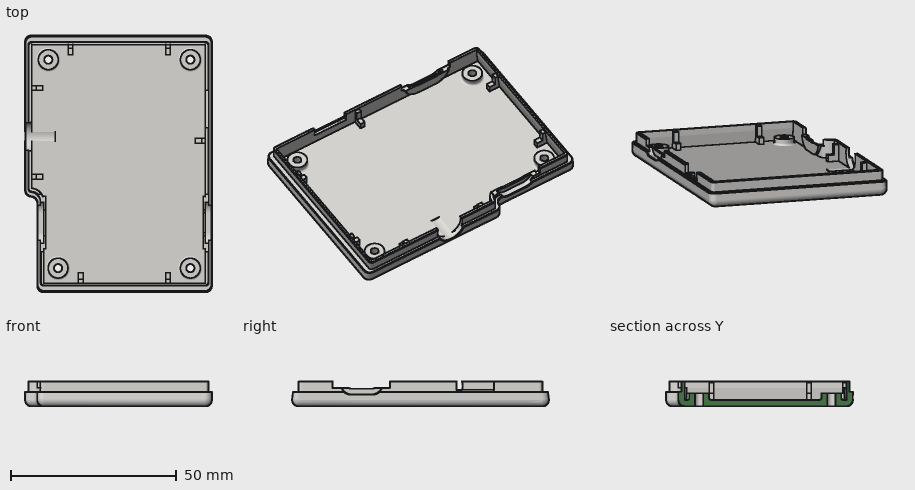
import cadquery as cq
import math

width = 56.49
length = 77.63
step_width = 3.68
step_start_y = -7.96
corner_radius = 2.0

floor_top = 2.0
board_seat = 4.0
rim_height = 4.5
wall_height = 5.6
rib_top = 7.1
total_height = 7.6

bottom_fillet = 1.99
end_draft = 7.0
lip_inset = 1.0
wall_thickness = 2.0
lip_half_length = 36.85
cavity_half_length = 36.0
lip_step_shift = 0.4
cavity_step_shift = 0.6
edge_break = 0.2
chamfer_angle = 45.0

boss_diameter = 6.0
screw_hole_diameter = 2.4
boss_flare = 0.7
boss_centers = [(-21.2, 31.45), (21.7, 31.45), (-18.25, -31.5), (21.7, -31.5)]

rib_width = 1.5
ledge_reach = 2.0
board_left, board_right = -24.85, 25.15
board_half_length = 34.87
top_rib_xs = (-14.5, 14.95)
bottom_rib_xs = (-11.45, 14.95)
left_rib_ys = (22.9, -3.95)
right_rib_y = 7.0

cable_radius = 4.45
cable_y = 8.25
cable_bottom = 1.77
cable_end_x = -19.1

plug_y = -17.77
plug_half_flat = 3.0
plug_axis_z = 7.15
plug_radius = 3.5
plug_pad_radius = plug_axis_z - floor_top
plug_port_radius = 1.8
pad_thickness = 0.65
plug_gap_y = (-26.55, -9.15)

notch_y = (10.9, 22.2)
notch_bottom = 5.0

left_x = -width / 2
right_x = width / 2
stepped_left_x = left_x + step_width
plug_sides = [(stepped_left_x, 1), (right_x, -1)]

draft_slope = math.tan(math.radians(end_draft))
fillet_loss = bottom_fillet * (draft_slope + 1 / math.cos(math.radians(end_draft)) - 1)
base_half_length = length / 2 + fillet_loss


def box(x_range, y_range, z_range):
    size = [high - low for low, high in (x_range, y_range, z_range)]
    corner = (x_range[0], y_range[0], z_range[0])
    return cq.Workplane("XY").box(*size, centered=False).translate(corner)


def outline(workplane, inset, half_length, step_shift):
    """Plan outline with sides moved in by inset, ends at +-half_length and the step moved along Y."""
    left = left_x + inset
    stepped_left = stepped_left_x + inset
    right = right_x - inset
    outer = corner_radius - inset
    inner = corner_radius + inset

    centers_dx = step_width - 2 * corner_radius
    centers_dy = -math.sqrt((2 * corner_radius) ** 2 - centers_dx ** 2)
    convex = (left_x + corner_radius, step_start_y + step_shift)
    concave = (convex[0] + centers_dx, convex[1] + centers_dy)
    lean = math.atan2(centers_dy, centers_dx)

    def on_arc(center, radius, angle):
        return (center[0] + radius * math.cos(angle), center[1] + radius * math.sin(angle))

    meeting = on_arc(convex, outer, lean)
    concave_middle = on_arc(concave, inner, (lean + math.pi) / 2)
    convex_middle = on_arc(convex, outer, (lean - math.pi) / 2)

    rounded = outer > 0
    sketch = workplane.moveTo(stepped_left + outer, -half_length).lineTo(right - outer, -half_length)
    if rounded:
        sketch = sketch.radiusArc((right, -half_length + outer), -outer)
    sketch = sketch.lineTo(right, half_length - outer)
    if rounded:
        sketch = sketch.radiusArc((right - outer, half_length), -outer)
    sketch = sketch.lineTo(left + outer, half_length)
    if rounded:
        sketch = sketch.radiusArc((left, half_length - outer), -outer)
    sketch = sketch.lineTo(left, convex[1])
    if rounded:
        sketch = sketch.threePointArc(convex_middle, meeting)
    sketch = sketch.threePointArc(concave_middle, (stepped_left, concave[1]))
    sketch = sketch.lineTo(stepped_left, -half_length + outer)
    if rounded:
        sketch = sketch.radiusArc((stepped_left + outer, -half_length), -outer)
    return sketch.close()


def straight_block(inset, half_length, step_shift, bottom, top):
    base_plane = cq.Workplane("XY").workplane(offset=bottom)
    return outline(base_plane, inset, half_length, step_shift).extrude(top - bottom)


def lofted_block(insets, half_lengths, step_shift, bottom, top):
    """Block between two outlines, given as (bottom, top) pairs of insets and half lengths."""
    lower = outline(cq.Workplane("XY").workplane(offset=bottom), insets[0], half_lengths[0], step_shift)
    both = outline(lower.workplane(offset=top - bottom), insets[1], half_lengths[1], step_shift)
    return both.loft(ruled=True)


def drafted_block(inset, bottom_half_length, step_shift, bottom, top):
    """Block whose sides are upright and whose ends lean inward going up."""
    half_lengths = (bottom_half_length, bottom_half_length - (top - bottom) * draft_slope)
    return lofted_block((inset, inset), half_lengths, step_shift, bottom, top)


def plug_slot(radius, x_start):
    """Sketch of a rounded slot, facing X, whose corner arcs share the plug's arc centres."""
    slot = cq.Workplane("YZ", origin=(x_start, plug_y, plug_axis_z))
    return slot.slot2D(2 * (plug_half_flat + radius), 2 * radius)


def plug_shape(radius, x_start, x_end):
    return plug_slot(radius, x_start).extrude(x_end - x_start)


def plug_recess(outer_x, inward):
    """Plug recess through the wall, with its outer edge chamfered."""
    chamfer = plug_slot(plug_radius + edge_break, outer_x).extrude(inward * edge_break, taper=chamfer_angle)
    return plug_shape(plug_radius, outer_x, outer_x + inward * wall_thickness).union(chamfer)


def shell():
    chamfer_bottom = rim_height - edge_break
    rim_half_length = base_half_length - chamfer_bottom * draft_slope
    base = drafted_block(0, base_half_length, 0, 0, chamfer_bottom)
    base = base.faces("<Z").edges().fillet(bottom_fillet)
    rim_chamfer = lofted_block(
        (0, edge_break), (rim_half_length, rim_half_length - edge_break), 0, chamfer_bottom, rim_height
    )
    base = base.union(rim_chamfer)
    lip = straight_block(lip_inset, lip_half_length, lip_step_shift, floor_top, total_height)
    lip = lip.faces(">Z").edges().chamfer(edge_break)
    floor_half_length = cavity_half_length + (wall_height - floor_top) * draft_slope
    lower_cavity = drafted_block(wall_thickness, floor_half_length, cavity_step_shift, floor_top, wall_height)
    upper_cavity = straight_block(
        wall_thickness, cavity_half_length, cavity_step_shift, wall_height, total_height
    )
    return base.union(lip).cut(lower_cavity).cut(upper_cavity)


def screw_boss(center):
    """Boss rooted in the floor, with a concave flare round its foot."""
    radius = boss_diameter / 2
    foot_radius = radius + boss_flare
    root = floor_top / 2
    profile = (
        cq.Workplane("XZ")
        .moveTo(0, root)
        .lineTo(foot_radius, root)
        .lineTo(foot_radius, floor_top)
        .radiusArc((radius, floor_top + boss_flare), boss_flare)
        .lineTo(radius, board_seat)
        .lineTo(0, board_seat)
        .close()
    )
    return profile.revolve(360, (0, 0, 0), (0, 1, 0)).translate((*center, 0))


def board_rib(wall_to_board):
    """L-shaped rib standing against a wall at x = 0 and reaching toward +X."""
    half_width = rib_width / 2
    root = floor_top / 2
    embed = (wall_thickness - lip_inset) / 2
    side = (-half_width, half_width)
    post = box((-embed, wall_to_board), side, (root, rib_top))
    ledge = box((-embed, wall_to_board + ledge_reach), side, (root, board_seat))
    return post.union(ledge)


def board_ribs():
    """Each rib is turned to face inward and set on its wall."""
    inner_left = left_x + wall_thickness
    inner_right = right_x - wall_thickness
    end_rib = board_rib(cavity_half_length - board_half_length)
    ribs = [board_rib(inner_right - board_right).rotate((0, 0, 0), (0, 0, 1), 180)
            .translate((inner_right, right_rib_y, 0))]
    for y in left_rib_ys:
        ribs.append(board_rib(board_left - inner_left).translate((inner_left, y, 0)))
    for x in top_rib_xs:
        ribs.append(end_rib.rotate((0, 0, 0), (0, 0, 1), -90).translate((x, cavity_half_length, 0)))
    for x in bottom_rib_xs:
        ribs.append(end_rib.rotate((0, 0, 0), (0, 0, 1), 90).translate((x, -cavity_half_length, 0)))
    return ribs


def add_plug_opening(body, outer_x, inward):
    """Pad, plug recess and port in the side at outer_x; inward is +1 or -1."""
    inner_x = outer_x + inward * wall_thickness
    pad_x = inner_x + inward * pad_thickness
    pad_start = outer_x + inward * lip_inset
    above_wall = (wall_height, plug_axis_z + plug_pad_radius)
    pad_half_width = plug_half_flat + plug_pad_radius
    pad_y = (plug_y - pad_half_width, plug_y + pad_half_width)
    x_span = (min(outer_x, pad_x), max(outer_x, pad_x))

    pad = plug_shape(plug_pad_radius, pad_start, pad_x).cut(box(x_span, pad_y, above_wall))
    body = body.union(pad)
    body = body.cut(box(x_span, plug_gap_y, (wall_height, total_height)))
    body = body.cut(plug_recess(outer_x, inward))
    return body.cut(plug_shape(plug_port_radius, outer_x, pad_x))


def cable_opening():
    """Round opening with a chamfered outer edge, grooving the floor as far as its inner end."""
    section = cq.Workplane("YZ", origin=(left_x, cable_y, cable_bottom + cable_radius))
    chamfer = section.circle(cable_radius + edge_break).extrude(edge_break, taper=chamfer_angle)
    return section.circle(cable_radius).extrude(cable_end_x - left_x).union(chamfer)


def lip_notch():
    return box((right_x - wall_thickness, right_x), notch_y, (notch_bottom, total_height))


def screw_holes():
    hole_radius = screw_hole_diameter / 2
    return cq.Workplane("XY").pushPoints(boss_centers).circle(hole_radius).extrude(board_seat)


result = shell()
for rib in board_ribs():
    result = result.union(rib)
for center in boss_centers:
    result = result.union(screw_boss(center))
for outer_x, inward in plug_sides:
    result = add_plug_opening(result, outer_x, inward)
result = result.cut(cable_opening())
result = result.cut(lip_notch())
result = result.cut(screw_holes())